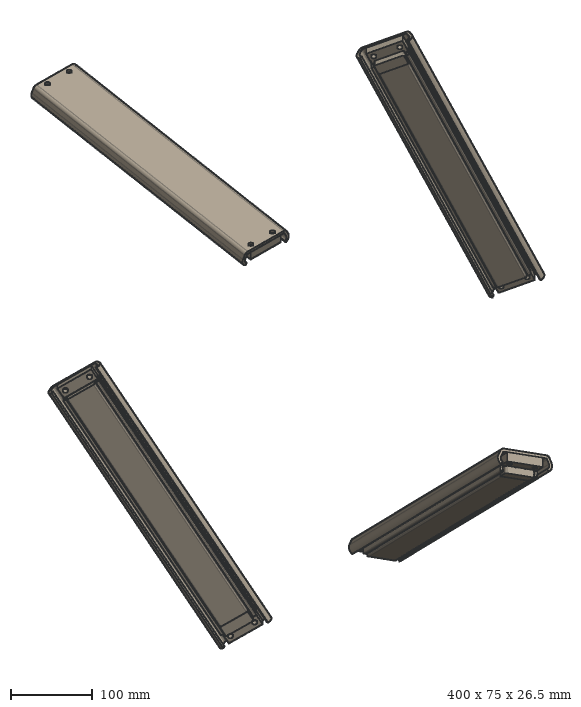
import cadquery as cq
import math

length = 400.0
width = 75.0
height = 26.5
cover_thickness = 4.0
shoulder_radius = 5.5
curl_radius = 9.0
flank_angle = 25.0
curl_end_angle = 63.0
curl_center_z = 13.5
hole_diameter = 6.5
hole_x = 192.5
hole_y = 17.4

block_half_width = 24.5
block_bottom = 10.5
rib_projection = 1.0
rib_height = 3.5
rib_top_gap = 1.5

channel_front = -183.0
channel_back = 185.0
channel_half_width = 25.4
channel_bottom = 3.0
channel_wall = 3.0
web_thickness = 1.0
foot_length = 1.0
foot_thickness = 2.5
channel_edge_radius = 1.0

rail_half_width = 20.0
rail_back = channel_back
rail_front = -172.0
rail_edge_radius = 1.5
cap_front = -186.5
cap_corner_radius = 1.5

block_top = height - cover_thickness
rail_top = block_bottom - web_thickness


def polar(center, radius, degrees):
    """Point on a circle in the YZ plane; 0 degrees points along +Y."""
    angle = math.radians(degrees)
    return (center[0] + radius * math.cos(angle), center[1] + radius * math.sin(angle))


def extrude_between(profile, x_start, x_end):
    """Extrude a YZ outline along X from x_start to x_end."""
    return profile.extrude(x_end - x_start).translate((x_start, 0, 0))


def box_between(x_start, x_end, half_width, z_bottom, z_top):
    """Box centred on Y = 0."""
    box = cq.Workplane("XY").box(x_end - x_start, 2 * half_width, z_top - z_bottom)
    return box.translate(((x_start + x_end) / 2, 0, (z_bottom + z_top) / 2))


def mirror_y(point):
    return (-point[0], point[1])


def make_cover():
    curl_center = (width / 2 - curl_radius, curl_center_z)
    flank_start = polar(curl_center, curl_radius, flank_angle)
    shoulder_z = height - shoulder_radius
    shoulder_end_z = polar((0, shoulder_z), shoulder_radius, flank_angle)[1]
    flank_run = (shoulder_end_z - flank_start[1]) * math.tan(math.radians(flank_angle))
    shoulder_end_y = flank_start[0] - flank_run
    shoulder_y = shoulder_end_y - shoulder_radius * math.cos(math.radians(flank_angle))
    shoulder_center = (shoulder_y, shoulder_z)
    shoulder_mid_angle = (90 + flank_angle) / 2
    curl_mid_angle = (flank_angle - curl_end_angle) / 2

    def half_outline(offset):
        """Points from the flat top to the curl tip, moved inwards by offset."""
        shoulder = shoulder_radius - offset
        curl = curl_radius - offset
        return [
            polar(shoulder_center, shoulder, 90),
            polar(shoulder_center, shoulder, shoulder_mid_angle),
            polar(shoulder_center, shoulder, flank_angle),
            polar(curl_center, curl, flank_angle),
            polar(curl_center, curl, curl_mid_angle),
            polar(curl_center, curl, -curl_end_angle),
        ]

    outer = half_outline(0)
    inner = half_outline(cover_thickness)
    outer_left = [mirror_y(point) for point in outer]
    inner_left = [mirror_y(point) for point in inner]
    profile = (
        cq.Workplane("YZ")
        .moveTo(*outer_left[0])
        .lineTo(*outer[0])
        .threePointArc(outer[1], outer[2])
        .lineTo(*outer[3])
        .threePointArc(outer[4], outer[5])
        .lineTo(*inner[5])
        .threePointArc(inner[4], inner[3])
        .lineTo(*inner[2])
        .threePointArc(inner[1], inner[0])
        .lineTo(*inner_left[0])
        .threePointArc(inner_left[1], inner_left[2])
        .lineTo(*inner_left[3])
        .threePointArc(inner_left[4], inner_left[5])
        .lineTo(*outer_left[5])
        .threePointArc(outer_left[4], outer_left[3])
        .lineTo(*outer_left[2])
        .threePointArc(outer_left[1], outer_left[0])
        .close()
    )
    strip = extrude_between(profile, -length / 2, length / 2)
    return strip.cut(make_screw_holes())


def make_screw_holes():
    """Four upright cylinders for the holes through the cover and the block."""
    return (
        cq.Workplane("XY")
        .rect(2 * hole_x, 2 * hole_y, forConstruction=True)
        .vertices()
        .circle(hole_diameter / 2)
        .extrude(height)
    )


def make_block():
    """Spacer block with a low rib on each long side, as long as the channel."""
    body = box_between(-length / 2, length / 2, block_half_width, block_bottom, block_top)
    rib_top = block_top - rib_top_gap
    rib_half_width = block_half_width + rib_projection
    ribs = box_between(channel_front, channel_back, rib_half_width, rib_top - rib_height, rib_top)
    return body.union(ribs).cut(make_screw_holes())


def make_channel():
    """Downward-open channel whose side walls end in short inward feet."""
    inside_half_width = channel_half_width - channel_wall
    mouth_half_width = inside_half_width - foot_length
    foot_top = channel_bottom + foot_thickness
    outside = box_between(
        channel_front, channel_back, channel_half_width, channel_bottom, block_bottom
    )
    outside = outside.edges("|X and <Z").fillet(channel_edge_radius)
    cavity = box_between(channel_front, channel_back, inside_half_width, foot_top, rail_top)
    mouth = box_between(channel_front, channel_back, mouth_half_width, channel_bottom, foot_top)
    return outside.cut(cavity).cut(mouth)


def make_rail():
    """Rail inside the channel, with rounded lower long edges."""
    rail = box_between(rail_front, rail_back, rail_half_width, 0, rail_top)
    return rail.edges("|X and <Z").fillet(rail_edge_radius)


def make_end_cap():
    """Cap in front of the rail, with rounded upright corners on its free end."""
    cap = box_between(cap_front, rail_front, rail_half_width, 0, rail_top)
    return cap.edges("|Z and <X").fillet(cap_corner_radius)


cover = make_cover()
block = make_block()
channel = make_channel()
rail = make_rail()
end_cap = make_end_cap()

result = cq.Compound.makeCompound(
    [cover.val(), block.val(), channel.val(), rail.val(), end_cap.val()]
)